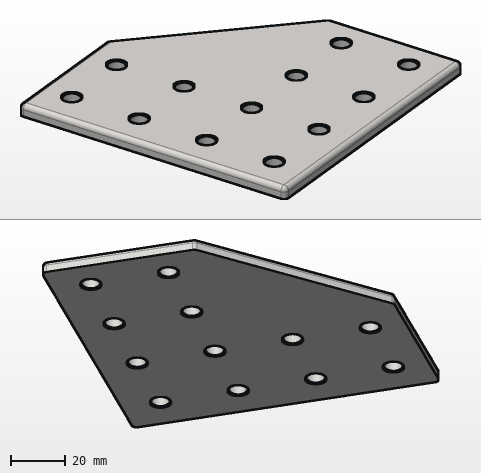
import cadquery as cq

side = 118.5
thickness = 5.0
straight_edge = 59.2
corner_radius = 2.0
top_edge_radius = 2.0

hole_diameter = 7.0
hole_chamfer = 0.5
hole_pitch = 30.0
hole_margin = 15.0
holes_per_side = 4
arm_width = 2

half = side / 2
cut_end = straight_edge - half


def plate():
    outline = [
        (-half, -half),
        (half, -half),
        (half, half),
        (-cut_end, half),
        (-half, cut_end),
    ]
    body = cq.Workplane("XY").polyline(outline).close().extrude(thickness)
    body = body.edges("|Z").fillet(corner_radius)
    return body.faces(">Z").edges().fillet(top_edge_radius)


def hole_centers():
    centers = []
    for column in range(holes_per_side):
        for row in range(holes_per_side):
            if column < arm_width or row < arm_width:
                x = half - hole_margin - column * hole_pitch
                y = -half + hole_margin + row * hole_pitch
                centers.append((x, y))
    return centers


def hole_cutters():
    rim_radius = hole_diameter / 2 + hole_chamfer
    bores = (
        cq.Workplane("XY")
        .pushPoints(hole_centers())
        .circle(hole_diameter / 2)
        .extrude(thickness)
    )
    upper_rims = (
        cq.Workplane("XY", origin=(0, 0, thickness))
        .pushPoints(hole_centers())
        .circle(rim_radius)
        .extrude(-hole_chamfer, taper=45)
    )
    lower_rims = (
        cq.Workplane("XY")
        .pushPoints(hole_centers())
        .circle(rim_radius)
        .extrude(hole_chamfer, taper=45)
    )
    return bores.union(upper_rims).union(lower_rims)


result = plate().cut(hole_cutters())